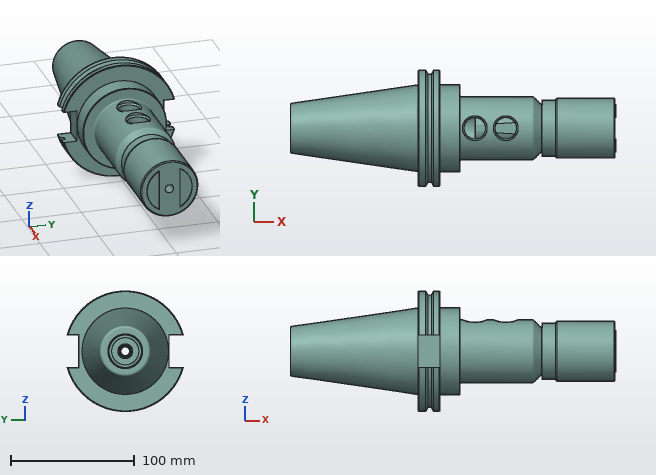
import cadquery as cq
import math


GAUGE_DIAMETER = 69.85
TAPER_LENGTH = 101.75
TAPER_RADIUS_SLOPE = 7 / 48
TAPER_END_ROUND = 2.0

FLANGE_DIAMETER = 97.5
FLANGE_START = 1.4
FLANGE_END = 19.1
FLANGE_CHAMFER = 0.6
GROOVE_CENTER = 10.8
GROOVE_DIAMETER = 91.25
GROOVE_FLOOR_WIDTH = 2.8
GROOVE_SIDE_ANGLE = 30
SLOT_WIDTH = 26.6
SLOT_FLOOR_FRONT = 35.5
SLOT_FLOOR_BACK = 37.7

COLLAR_DIAMETER = 70.5
COLLAR_END = 35.4
COLLAR_CHAMFER = 0.5
NOSE_DIAMETER = 51.0
NOSE_END = 101.6
NOSE_FACE_DIAMETER = 37.8
NOSE_FACE_LAND = 0.4
NOSE_ROOT_ROUND = 1.0
NOSE_SHOULDER_ROUND = 2.2
NOSE_CONE_ANGLE = 45

DRAWBAR_MOUTH_DIAMETER = 28.0
DRAWBAR_RECESS_DIAMETER = 26.2
DRAWBAR_RECESS_DEPTH = 5.0
DRAWBAR_BORE_DIAMETER = 21.97
DRAWBAR_BORE_DEPTH = 60.0
PASSAGE_DIAMETER = 10.0
PASSAGE_CHAMFER = 1.0
SOCKET_EXTRA_DEPTH = 14.0

SCREW_HOLE_DIAMETER = 17.32
SCREW_HOLE_MOUTH_DIAMETER = 20.0
SCREW_HOLE_START = 47.3
SCREW_HOLE_PITCH = 25.0
SCREW_HOLE_COUNT = 2

SHANK_DIAMETER = 25.4
SHANK_END_DIAMETER = 24.4
SHANK_START = 47.5
SHANK_FLAT_WIDTH_AT_END = 4.0
SHANK_FLAT_ANGLE = 1.25
SHANK_FLAT_LENGTH = 40.0
NECK_DIAMETER = 45.5
NECK_LENGTH = 11.0
SLEEVE_DIAMETER = 48.5
SLEEVE_LENGTH = 48.1
SLEEVE_CHAMFER = 0.9
LUG_RING_DIAMETER = 38.0
LUG_HEIGHT = 0.77
LUG_GAP = 17.5
COOLANT_DIAMETER = 7.0
COOLANT_CHAMFER = 1.0

TAPER_START = -TAPER_LENGTH
TAPER_START_RADIUS = GAUGE_DIAMETER / 2 - TAPER_LENGTH * TAPER_RADIUS_SLOPE
SHANK_RADIUS = SHANK_DIAMETER / 2
SOCKET_BOTTOM = SHANK_START - SOCKET_EXTRA_DEPTH
SLEEVE_START = NOSE_END + NECK_LENGTH
SLEEVE_END = SLEEVE_START + SLEEVE_LENGTH


def cylinder(start, end, diameter):
    """Cylinder on the X axis between two X positions."""
    return cq.Workplane("YZ").workplane(offset=start).circle(diameter / 2).extrude(end - start)


def turned(profile):
    """Solid of revolution about X from (x, radius) points; the axis closes the profile."""
    points = [(profile[0][0], 0)] + profile + [(profile[-1][0], 0)]
    return cq.Workplane("XY").polyline(points).close().revolve(360, (0, 0, 0), (1, 0, 0))


def make_taper():
    taper = turned([
        (TAPER_START, TAPER_START_RADIUS),
        (0, GAUGE_DIAMETER / 2),
        (FLANGE_START, GAUGE_DIAMETER / 2),
    ])
    return taper.faces("<X").edges().fillet(TAPER_END_ROUND)


def make_flange():
    outer = FLANGE_DIAMETER / 2
    floor = GROOVE_DIAMETER / 2
    floor_half = GROOVE_FLOOR_WIDTH / 2
    mouth_half = floor_half + (outer - floor) * math.tan(math.radians(GROOVE_SIDE_ANGLE))
    flange = turned([
        (FLANGE_START, outer - FLANGE_CHAMFER),
        (FLANGE_START + FLANGE_CHAMFER, outer),
        (GROOVE_CENTER - mouth_half, outer),
        (GROOVE_CENTER - floor_half, floor),
        (GROOVE_CENTER + floor_half, floor),
        (GROOVE_CENTER + mouth_half, outer),
        (FLANGE_END - FLANGE_CHAMFER, outer),
        (FLANGE_END, outer - FLANGE_CHAMFER),
    ])
    for side, slot_floor in ((-1, SLOT_FLOOR_FRONT), (1, SLOT_FLOOR_BACK)):
        slot = cq.Workplane("XY").box(
            FLANGE_END - FLANGE_START, FLANGE_DIAMETER, SLOT_WIDTH, centered=(False, True, True)
        )
        slot_center = side * (slot_floor + FLANGE_DIAMETER / 2)
        flange = flange.cut(slot.translate((FLANGE_START, slot_center, 0)))
    return flange


def make_nose():
    """Collar behind the flange and the nose that carries the socket."""
    collar_radius = COLLAR_DIAMETER / 2
    nose_radius = NOSE_DIAMETER / 2
    face_radius = NOSE_FACE_DIAMETER / 2
    cone_end = NOSE_END - NOSE_FACE_LAND
    cone_angle = math.radians(NOSE_CONE_ANGLE)
    cone_start = cone_end - (nose_radius - face_radius) / math.tan(cone_angle)
    blend = NOSE_SHOULDER_ROUND * math.tan(cone_angle / 2)
    blend_along = blend * math.cos(cone_angle)
    blend_inward = blend * math.sin(cone_angle)
    profile = (
        cq.Workplane("XY")
        .moveTo(FLANGE_START, 0)
        .lineTo(FLANGE_START, collar_radius)
        .lineTo(COLLAR_END - COLLAR_CHAMFER, collar_radius)
        .lineTo(COLLAR_END, collar_radius - COLLAR_CHAMFER)
        .lineTo(COLLAR_END, nose_radius + NOSE_ROOT_ROUND)
        .tangentArcPoint((NOSE_ROOT_ROUND, -NOSE_ROOT_ROUND))
        .lineTo(cone_start - blend, nose_radius)
        .tangentArcPoint((blend + blend_along, -blend_inward))
        .lineTo(cone_end, face_radius)
        .lineTo(NOSE_END, face_radius)
        .lineTo(NOSE_END, 0)
        .close()
    )
    return profile.revolve(360, (0, 0, 0), (1, 0, 0))


def make_holder_bores():
    """Coaxial cavity: drawbar bore, narrow passage and the socket for the chuck shank."""
    recess_radius = DRAWBAR_RECESS_DIAMETER / 2
    mouth_radius = DRAWBAR_MOUTH_DIAMETER / 2
    bore_radius = DRAWBAR_BORE_DIAMETER / 2
    passage_radius = PASSAGE_DIAMETER / 2
    recess_end = TAPER_START + DRAWBAR_RECESS_DEPTH
    bore_end = TAPER_START + DRAWBAR_BORE_DEPTH
    return turned([
        (TAPER_START, mouth_radius),
        (TAPER_START + mouth_radius - recess_radius, recess_radius),
        (recess_end, recess_radius),
        (recess_end, bore_radius),
        (bore_end, bore_radius),
        (bore_end, passage_radius + PASSAGE_CHAMFER),
        (bore_end + PASSAGE_CHAMFER, passage_radius),
        (SOCKET_BOTTOM, passage_radius),
        (SOCKET_BOTTOM, SHANK_RADIUS),
        (NOSE_END, SHANK_RADIUS),
    ])


def make_screw_hole(x):
    """Upward hole from the axis, countersunk where it leaves the nose surface."""
    hole_radius = SCREW_HOLE_DIAMETER / 2
    mouth_radius = SCREW_HOLE_MOUTH_DIAMETER / 2
    rim_height = math.sqrt((NOSE_DIAMETER / 2) ** 2 - mouth_radius ** 2)
    profile = [
        (0, 0),
        (hole_radius, 0),
        (hole_radius, rim_height - (mouth_radius - hole_radius)),
        (mouth_radius, rim_height),
        (mouth_radius, NOSE_DIAMETER / 2),
        (0, NOSE_DIAMETER / 2),
    ]
    hole = cq.Workplane("XZ").polyline(profile).close().revolve(360, (0, 0, 0), (0, 1, 0))
    return hole.translate((x, 0, 0))


def make_holder():
    holder = make_taper().union(make_flange()).union(make_nose()).cut(make_holder_bores())
    for index in range(SCREW_HOLE_COUNT):
        holder = holder.cut(make_screw_hole(SCREW_HOLE_START + index * SCREW_HOLE_PITCH))
    return holder


def make_shank_flat():
    """Wedge that leaves a sloping flat on top of the shank, deeper away from the free end."""
    end_height = math.sqrt(SHANK_RADIUS ** 2 - (SHANK_FLAT_WIDTH_AT_END / 2) ** 2)
    far_height = end_height - SHANK_FLAT_LENGTH * math.tan(math.radians(SHANK_FLAT_ANGLE))
    flat_end = SHANK_START + SHANK_FLAT_LENGTH
    wedge = cq.Workplane("XZ").polyline([
        (SHANK_START, end_height),
        (flat_end, far_height),
        (flat_end, SHANK_DIAMETER),
        (SHANK_START, SHANK_DIAMETER),
    ]).close()
    return wedge.extrude(SHANK_RADIUS, both=True)


def make_drive_lugs():
    """Raised disc on the end face, parted by a channel that runs along Z."""
    disc = cylinder(SLEEVE_END, SLEEVE_END + LUG_HEIGHT, LUG_RING_DIAMETER)
    channel = cq.Workplane("XY").box(
        LUG_HEIGHT, LUG_GAP, LUG_RING_DIAMETER, centered=(False, True, True)
    )
    return disc.cut(channel.translate((SLEEVE_END, 0, 0)))


def make_chuck():
    end_chamfer = (SHANK_DIAMETER - SHANK_END_DIAMETER) / 2
    neck_radius = NECK_DIAMETER / 2
    sleeve_radius = SLEEVE_DIAMETER / 2
    body = turned([
        (SHANK_START, SHANK_RADIUS - end_chamfer),
        (SHANK_START + end_chamfer, SHANK_RADIUS),
        (NOSE_END, SHANK_RADIUS),
        (NOSE_END, neck_radius),
        (SLEEVE_START, neck_radius),
        (SLEEVE_START, sleeve_radius - SLEEVE_CHAMFER),
        (SLEEVE_START + SLEEVE_CHAMFER, sleeve_radius),
        (SLEEVE_END - SLEEVE_CHAMFER, sleeve_radius),
        (SLEEVE_END, sleeve_radius - SLEEVE_CHAMFER),
    ])
    coolant_radius = COOLANT_DIAMETER / 2
    coolant_hole = turned([
        (SHANK_START, coolant_radius + COOLANT_CHAMFER),
        (SHANK_START + COOLANT_CHAMFER, coolant_radius),
        (SLEEVE_END, coolant_radius),
    ])
    return body.cut(make_shank_flat()).cut(coolant_hole).union(make_drive_lugs())


holder = make_holder()
chuck = make_chuck()
result = cq.Compound.makeCompound([holder.solids().val(), chuck.solids().val()])